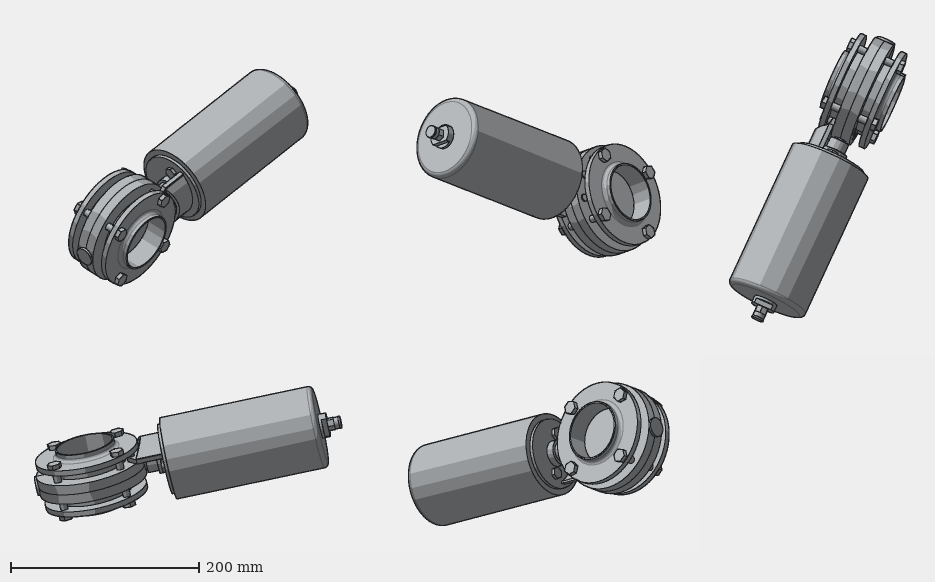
import cadquery as cq
import math


bore_radius = 30.0
ring_radius = 58.0
ring_half_width = 10.5
collar_radius = 40.5
flange_radius = 55.3
flange_inner_x = 20.5
flange_thickness = 6.0
flange_outer_x = flange_inner_x + flange_thickness
stub_radius = 31.8
stub_end_x = 34.8
stub_root_fillet = 4.0

bolt_count = 4
bolt_circle_radius = 48.0
bolt_radius = 4.0
bolt_head_corner_diameter = 15.0
bolt_head_radius = bolt_head_corner_diameter / 2
bolt_head_height = 5.0

disc_half_thickness = 11.3
shaft_radius = 6.5
trunnion_radius = 10.3
trunnion_end_y = -60.0

coupling_radius = 10.5
coupling_bottom_y = 60.0
hub_radius = 14.0
hub_bottom_y = 71.8
cover_radius = 37.7
cover_bottom_y = 80.0
drum_diameter = 88.5
drum_radius = drum_diameter / 2
drum_bottom_y = 83.7
drum_top_y = 249.0
drum_top_fillet = 5.0
cap_radius = 13.0
cap_top_y = 257.2
cap_flat_half_width = 8.5
cap_flat_length = 5.3
stem_hex_radius = 7.0
stem_hex_top_y = 264.0
stem_tip_radius = 6.3
stem_rim_radius = 6.5
stem_rim_length = 2.0
overall_length = 331.0
stem_top_y = trunnion_end_y + overall_length
cover_screw_z = 22.2
cover_screw_head_radius = 6.5
cover_screw_head_height = 3.5

plate_inner_x = ring_half_width
plate_thickness = 5.0
plate_outer_x = plate_inner_x + plate_thickness
plate_half_height = 30.5
plate_bottom_y = 42.0
plate_bottom_half_height = 15.5
plate_shoulder_y = 52.0
window_bottom_y = 58.3
hood_axis_x = -8.0
hood_outer_radius = 36.7
hood_wall = 3.0
hood_inner_radius = hood_outer_radius - hood_wall
hood_outer_x = hood_axis_x + hood_outer_radius
hood_low_y = 52.0
hood_high_y = 59.5

pin_y = 46.0
pin_z = 13.2
pin_radius = 4.0
pin_start_x = -12.0
pin_end_x = 20.0


def y_cylinder(radius, y_from, y_to, x=0.0):
    return cq.Workplane(cq.Solid.makeCylinder(
        radius, y_to - y_from, cq.Vector(x, y_from, 0), cq.Vector(0, 1, 0)))


def x_cylinder(radius, x_from, x_to, y=0.0, z=0.0):
    return cq.Workplane(cq.Solid.makeCylinder(
        radius, x_to - x_from, cq.Vector(x_from, y, z), cq.Vector(1, 0, 0)))


def hex_prism(origin, corner_direction, axis, corner_radius, height):
    """Hexagonal prism from origin along axis, with one corner towards corner_direction."""
    plane = cq.Plane(origin=origin, xDir=corner_direction, normal=axis)
    return cq.Workplane(plane).polygon(6, 2 * corner_radius).extrude(height)


def bracket_pins():
    """The two round pins of the bracket, which also shape their holes in the valve rings."""
    upper_pin = x_cylinder(pin_radius, pin_start_x, pin_end_x, pin_y, pin_z)
    return upper_pin.union(upper_pin.mirror("XY"))


def flange_bolt(angle):
    """Bolt shank between ring and flange, with its head outside; a head flat faces the flange rim."""
    y = bolt_circle_radius * math.cos(angle)
    z = bolt_circle_radius * math.sin(angle)
    corner_angle = angle + math.pi / 6
    corner = (0, math.cos(corner_angle), math.sin(corner_angle))
    shank = x_cylinder(bolt_radius, ring_half_width, flange_outer_x, y, z)
    head = hex_prism((flange_outer_x, y, z), corner, (1, 0, 0), bolt_head_radius, bolt_head_height)
    return shank.union(head)


def make_plain_valve_half():
    """The half on the +X side, without the holes for the bracket pins."""
    stub_root_x = flange_outer_x + stub_root_fillet
    stub_root_radius = stub_radius + stub_root_fillet
    arc_offset = stub_root_fillet * (1 - math.sqrt(0.5))
    profile = (
        cq.Workplane("XY")
        .moveTo(0, bore_radius)
        .lineTo(0, ring_radius)
        .lineTo(ring_half_width, ring_radius)
        .lineTo(ring_half_width, collar_radius)
        .lineTo(flange_inner_x, collar_radius)
        .lineTo(flange_inner_x, flange_radius)
        .lineTo(flange_outer_x, flange_radius)
        .lineTo(flange_outer_x, stub_root_radius)
        .threePointArc(
            (flange_outer_x + arc_offset, stub_radius + arc_offset),
            (stub_root_x, stub_radius),
        )
        .lineTo(stub_end_x, stub_radius)
        .lineTo(stub_end_x, bore_radius)
        .close()
    )
    half = profile.revolve(360, (0, 0, 0), (1, 0, 0))
    for index in range(bolt_count):
        half = half.union(flange_bolt(math.pi / 4 + index * 2 * math.pi / bolt_count))

    half = half.cut(y_cylinder(shaft_radius, 0, coupling_bottom_y))
    return half.cut(y_cylinder(trunnion_radius, trunnion_end_y, 0))


def make_disc():
    """Closed disc filling the bore, with the shaft above and the trunnion below it."""
    disc = x_cylinder(bore_radius, -disc_half_thickness, disc_half_thickness)
    bore = x_cylinder(bore_radius, -ring_half_width, ring_half_width)
    shaft = y_cylinder(shaft_radius, 0, coupling_bottom_y)
    trunnion = y_cylinder(trunnion_radius, trunnion_end_y, 0)
    return disc.union(shaft.union(trunnion).cut(bore))


def make_actuator():
    drum = y_cylinder(drum_radius, drum_bottom_y, drum_top_y).faces(">Y").edges().fillet(drum_top_fillet)
    actuator = drum.union(y_cylinder(cover_radius, cover_bottom_y, drum_bottom_y))
    actuator = actuator.union(y_cylinder(hub_radius, hub_bottom_y, cover_bottom_y))
    actuator = actuator.union(y_cylinder(coupling_radius, coupling_bottom_y, hub_bottom_y))

    flats = cq.Workplane("XY").box(
        2 * cap_radius, cap_flat_length, 2 * cap_flat_half_width
    ).translate((0, cap_top_y - cap_flat_length / 2, 0))
    cap = y_cylinder(cap_radius, cap_top_y - cap_flat_length, cap_top_y).intersect(flats)
    cap = cap.union(y_cylinder(cap_radius, drum_top_y, cap_top_y - cap_flat_length))
    stem_hex = hex_prism(
        (0, cap_top_y, 0), (0, 0, 1), (0, 1, 0), stem_hex_radius, stem_hex_top_y - cap_top_y)
    stem_tip = y_cylinder(stem_tip_radius, stem_hex_top_y, stem_top_y)
    stem_rim = y_cylinder(stem_rim_radius, stem_top_y - stem_rim_length, stem_top_y)
    actuator = actuator.union(cap).union(stem_hex).union(stem_tip).union(stem_rim)

    for z in (-cover_screw_z, cover_screw_z):
        actuator = actuator.union(hex_prism(
            (0, cover_bottom_y, z), (0, 0, 1), (0, -1, 0),
            cover_screw_head_radius, cover_screw_head_height))
    return actuator


def make_bracket():
    """Flat plate on the ring, with a window for the coupling and a round hood behind the window."""
    plate = (
        cq.Workplane("YZ", origin=(plate_inner_x, 0, 0))
        .polyline([
            (cover_bottom_y, plate_half_height),
            (plate_shoulder_y, plate_half_height),
            (plate_bottom_y, plate_bottom_half_height),
            (plate_bottom_y, -plate_bottom_half_height),
            (plate_shoulder_y, -plate_half_height),
            (cover_bottom_y, -plate_half_height),
        ])
        .close()
        .extrude(plate_thickness)
    )
    window = y_cylinder(hood_inner_radius, window_bottom_y, cover_bottom_y, hood_axis_x)

    hood_side = (
        cq.Workplane("XY", origin=(0, 0, -hood_outer_radius))
        .polyline([
            (plate_outer_x, hood_low_y),
            (plate_outer_x, cover_bottom_y),
            (hood_outer_x, cover_bottom_y),
            (hood_outer_x, hood_high_y),
        ])
        .close()
        .extrude(2 * hood_outer_radius)
    )
    tube = y_cylinder(hood_outer_radius, hood_low_y, cover_bottom_y, hood_axis_x).cut(
        y_cylinder(hood_inner_radius, hood_low_y, cover_bottom_y, hood_axis_x))
    hood = tube.intersect(hood_side)
    return plate.cut(window).union(hood).union(bracket_pins())


plain_valve_half = make_plain_valve_half()
right_valve_half = plain_valve_half.cut(bracket_pins())
left_valve_half = plain_valve_half.mirror("YZ").cut(bracket_pins())
disc = make_disc()
actuator = make_actuator()
bracket = make_bracket()

result = cq.Compound.makeCompound([
    right_valve_half.val(),
    left_valve_half.val(),
    disc.val(),
    actuator.val(),
    bracket.val(),
])